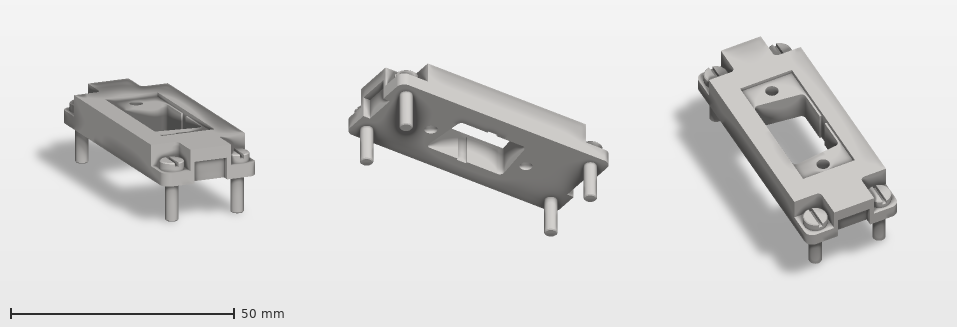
import cadquery as cq

length = 56.5
width = 23.0
total_height = 17.0
frame_height = 8.0
corner_radius = 2.0

seat_length = 7.0
seat_width = 6.5
seat_radius = 1.0
seat_height = 3.05

screw_spacing_x = 49.5
screw_spacing_y = 16.0
shank_diameter = 3.0
shank_drop = total_height - frame_height
shank_chamfer = 0.2
head_diameter = 5.5
head_height = 2.05
head_chamfer = 0.2
driver_slot_width = 0.9
driver_slot_depth = 1.0

end_recess_width = 8.0
end_recess_height = 5.1
end_recess_depth = 1.75

pocket_length = 31.45
pocket_width = 13.0
pocket_depth = 1.0
hole_diameter = 3.0
hole_spacing = 25.55

window_back_length = 20.45
window_front_length = 17.6
window_width = 12.05
window_radius = 1.0

key_width = 2.5
key_offset = -0.35


def make_frame():
    """Rounded base plate carrying a raised cross, which leaves a seat at each corner."""
    base = (
        cq.Workplane("XY")
        .rect(length, width)
        .extrude(seat_height)
        .edges("|Z")
        .fillet(corner_radius)
    )
    long_bar = cq.Workplane("XY").rect(length, width - 2 * seat_width).extrude(frame_height)
    wide_bar = cq.Workplane("XY").rect(length - 2 * seat_length, width).extrude(frame_height)
    inner_corners = cq.selectors.BoxSelector(
        (seat_length - length / 2 - seat_radius, seat_width - width / 2 - seat_radius, 0),
        (length / 2 - seat_length + seat_radius, width / 2 - seat_width + seat_radius, frame_height),
    )
    cross = long_bar.union(wide_bar).edges("|Z").edges(inner_corners).fillet(seat_radius)
    return base.union(cross)


def make_end_recesses():
    """Boxes removed from the bottom of both end faces."""
    return (
        cq.Workplane("XY")
        .pushPoints([(side * (length - end_recess_depth) / 2, 0) for side in (-1, 1)])
        .rect(end_recess_depth, end_recess_width)
        .extrude(end_recess_height)
    )


def make_connector_opening():
    """Pocket, mounting holes, D-shaped window and key grooves as one cutting body."""
    pocket = (
        cq.Workplane("XY", origin=(0, 0, frame_height - pocket_depth))
        .rect(pocket_length, pocket_width)
        .extrude(pocket_depth)
    )
    holes = (
        cq.Workplane("XY")
        .pushPoints([(side * hole_spacing / 2, 0) for side in (-1, 1)])
        .circle(hole_diameter / 2)
        .extrude(frame_height)
    )
    window = (
        cq.Workplane("XY")
        .polyline([
            (-window_front_length / 2, -window_width / 2),
            (window_front_length / 2, -window_width / 2),
            (window_back_length / 2, window_width / 2),
            (-window_back_length / 2, window_width / 2),
        ])
        .close()
        .extrude(frame_height)
        .edges("|Z")
        .fillet(window_radius)
    )
    key_grooves = (
        cq.Workplane("XY")
        .center(key_offset, 0)
        .rect(key_width, pocket_width)
        .extrude(frame_height)
    )
    return pocket.union(holes).union(window).union(key_grooves)


def make_screw():
    """Slotted screw with its head resting at seat height, centred on the Z axis."""
    shank = (
        cq.Workplane("XY", origin=(0, 0, -shank_drop))
        .circle(shank_diameter / 2)
        .extrude(shank_drop + seat_height)
        .faces("<Z")
        .chamfer(shank_chamfer)
    )
    head = (
        cq.Workplane("XY", origin=(0, 0, seat_height))
        .circle(head_diameter / 2)
        .extrude(head_height)
        .faces(">Z")
        .chamfer(head_chamfer)
    )
    driver_slot = (
        cq.Workplane("XY", origin=(0, 0, seat_height + head_height - driver_slot_depth))
        .rect(head_diameter, driver_slot_width)
        .extrude(driver_slot_depth)
    )
    return shank.union(head).cut(driver_slot)


result = make_frame().cut(make_end_recesses()).cut(make_connector_opening())

screw = make_screw()
for side_x in (-1, 1):
    for side_y in (-1, 1):
        screw_place = (side_x * screw_spacing_x / 2, side_y * screw_spacing_y / 2, 0)
        result = result.union(screw.translate(screw_place))